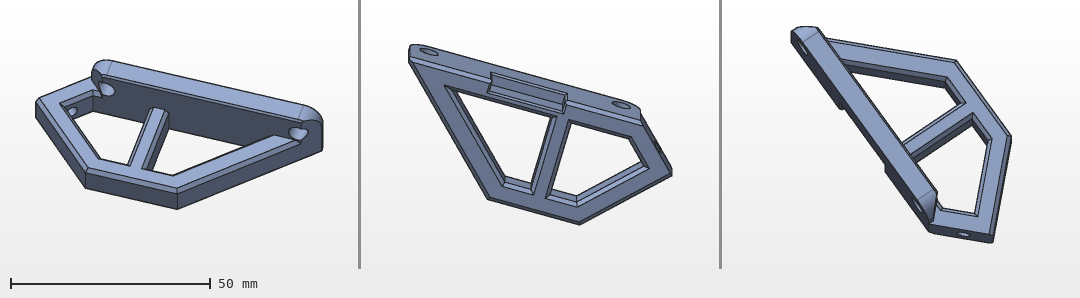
import cadquery as cq
import math

width = 43.5
depth = 58.85
frame_height = 8.0
plate_height = 15.55
edge_chamfer = 1.0
fine_chamfer = edge_chamfer / 2

plate_length = 60.1
plate_thickness = 5.5
plate_corner_radius = 5.0
plate_hole_diameter = 4.7
plate_run = plate_length / math.sqrt(2)
plate_start_y = depth - plate_run
end_cut = width - plate_run

bottom_edge_length = 26.5
left_bar = 5.0
bottom_bar = 5.6
diagonal_bar = 5.55
right_bar = 6.0
strut_width = 5.0
strut_position = 18.95
side_hole_diameter = 3.3
side_hole_y = 7.55

pocket_start = 19.0
pocket_length = 20.0
pocket_height = 7.55
pocket_depth = 3.0

plate_plane = cq.Plane(origin=(0, plate_start_y, 0), xDir=(1, 1, 0), normal=(1, -1, 0))
underside_plane = cq.Plane(origin=(0, plate_start_y, 0), xDir=(1, 1, 0), normal=(0, 0, 1))


def meet(total, difference):
    """Point where x + y = total crosses x - y = difference."""
    return ((total + difference) / 2, (total - difference) / 2)


def prism(points, height):
    return cq.Workplane("XY").polyline(points).close().extrude(height)


def make_frame():
    """Outline with two windows separated by the strut, chamfered top and bottom."""
    outline = [
        (0, 0),
        (bottom_edge_length, 0),
        (width, width - bottom_edge_length),
        (width, plate_start_y + width),
        (0, plate_start_y),
    ]
    plate_inside = plate_thickness * math.sqrt(2) - plate_start_y
    diagonal_inside = bottom_edge_length - diagonal_bar * math.sqrt(2)
    right_inside = width - right_bar
    strut_low = plate_start_y + (strut_position - strut_width / 2) * math.sqrt(2)
    strut_high = strut_low + strut_width * math.sqrt(2)

    small_window = [
        (left_bar, left_bar - plate_inside),
        (left_bar, bottom_bar),
        (bottom_bar + diagonal_inside, bottom_bar),
        meet(strut_low, diagonal_inside),
        meet(strut_low, plate_inside),
    ]
    large_window = [
        meet(strut_high, plate_inside),
        meet(strut_high, diagonal_inside),
        (right_inside, right_inside - diagonal_inside),
        (right_inside, right_inside - plate_inside),
    ]
    frame = prism(outline, frame_height)
    for window in (small_window, large_window):
        frame = frame.cut(prism(window, frame_height))

    frame = frame.faces("<Z").edges("not (<X)").chamfer(edge_chamfer)
    frame = frame.faces(">Z").edges("not (<X or >(-1,1,0))").chamfer(edge_chamfer)

    point = [(plate_run, depth), (width, depth - end_cut), (width, plate_start_y + width)]
    return frame.cut(prism(point, frame_height))


def make_plate():
    """Upright plate with rounded top corners, its ends trimmed square to X and Y."""
    plate_bottom = frame_height / 2
    plate = (
        cq.Workplane(plate_plane)
        .moveTo(0, plate_bottom)
        .lineTo(plate_length, plate_bottom)
        .lineTo(plate_length, plate_height - plate_corner_radius)
        .radiusArc((plate_length - plate_corner_radius, plate_height), -plate_corner_radius)
        .lineTo(plate_corner_radius, plate_height)
        .radiusArc((0, plate_height - plate_corner_radius), -plate_corner_radius)
        .close()
        .extrude(plate_thickness)
    )
    plate = plate.faces(">Z").edges(">(1,-1,0)").chamfer(fine_chamfer)
    trim = cq.Workplane("XY").box(width, plate_run + end_cut, plate_height, centered=False)
    return plate.intersect(trim.translate((0, plate_start_y - end_cut, 0)))


def make_plate_holes():
    hole_height = plate_height - plate_corner_radius
    ends = (plate_corner_radius, plate_length - plate_corner_radius)
    return (
        cq.Workplane(plate_plane)
        .pushPoints([(end, hole_height) for end in ends])
        .circle(plate_hole_diameter / 2)
        .extrude(plate_thickness)
    )


def make_pocket():
    """Blind pocket whose mouth flares outward by a fine chamfer."""
    inner_length = pocket_length - 2 * fine_chamfer
    inner_height = pocket_height - fine_chamfer
    pocket = (
        cq.Workplane(plate_plane)
        .moveTo(pocket_start + fine_chamfer, 0)
        .rect(inner_length, inner_height, centered=False)
        .extrude(pocket_depth)
    )
    mouth = (
        cq.Workplane(plate_plane)
        .moveTo(pocket_start + pocket_length / 2, 0)
        .rect(pocket_length, 2 * pocket_height)
        .extrude(fine_chamfer, taper=45)
    )
    flare_depth = 2 * (pocket_depth + fine_chamfer)
    underside = (
        cq.Workplane(underside_plane)
        .center(pocket_start + pocket_length / 2, 0)
        .rect(pocket_length, flare_depth)
        .extrude(fine_chamfer, taper=45)
    )
    return pocket.union(mouth).union(underside)


def make_side_hole():
    return (
        cq.Workplane("YZ")
        .center(side_hole_y, frame_height / 2)
        .circle(side_hole_diameter / 2)
        .extrude(left_bar)
    )


result = make_frame().union(make_plate())
for cutter in (make_plate_holes(), make_pocket(), make_side_hole()):
    result = result.cut(cutter)